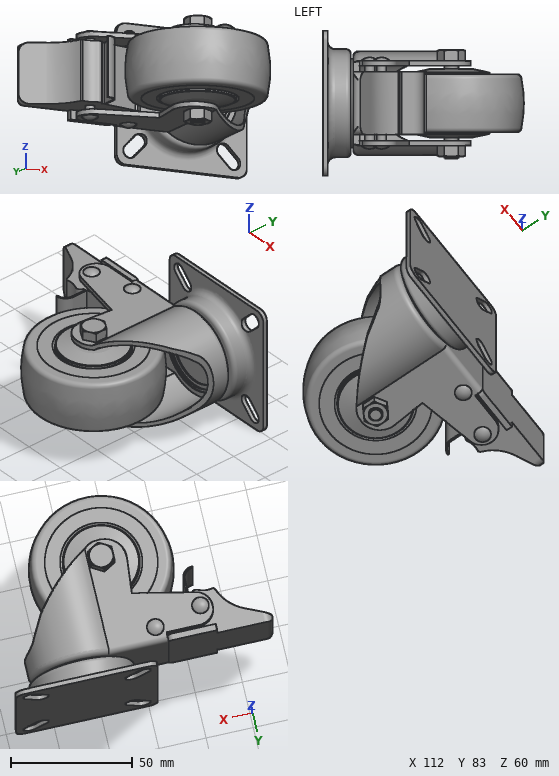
import cadquery as cq
import math


SWIVEL_X = 18.2
PLATE_SIZE = 60.0
PLATE_TOP = 53.0
PLATE_THICKNESS = 2.0
PLATE_CORNER = 4.0
SLOT_WIDTH = 6.0
SLOT_INNER = 19.2
SLOT_OUTER = 24.0
HOUSING_RADIUS = 22.4
HOUSING_FLARE = 2.95
HOUSING_EDGE = 2.0
HOUSING_BOTTOM = 41.5

SHEET = 2.1
FORK_RADIUS = 21.5
FORK_HALF = 17.5
FORK_TOP = 40.6
FORK_BEND = 2.4
WEB_START_X = -19.2
NECK_RADIUS = 18.4
RECESS_DIAMETERS = [34.0, 31.72, 28.0]
RECESS_STEP = 0.5
ARM_RADIUS = 7.1
ARM_X = -33.25
ARM_Y = 29.75
ARM_SLOPE = math.radians(12)
LEG_CORNER_X = -9.0
LEG_LEFT = (-10.4, 2.6)
LEG_LEFT_BULGE = (-7.9, -5.2)
LEG_RADIUS = 8.0
LEG_SLOPE = math.radians(40.5)
SKIRT_START = (9.1, -2.9)
SKIRT_BULGE = (20.0, 6.77)
SKIRT_END = (29.6, 17.5)
HEEL_START = (34.5, 25.9)
HEEL_BULGE = (36.5, 29.0)
HEEL_Y = 31.3

WHEEL_RADIUS = 30.0
TREAD_EDGE_RADIUS = 29.0
TREAD_EDGE_Z = 10.0
WHEEL_HALF = 12.05
TYRE_SIDE_RADIUS = 26.7
TYRE_SHOULDER = 2.2
CORE_RADIUS = 46.7 / 2
RIM_BEVEL_RADIUS = 17.0
RIM_HOLE_RADIUS = 16.0
RIM_BEVEL_DEPTH = 0.5
CAP_RADIUS = 31.72 / 2
CAP_EDGE_RADIUS = 31.0 / 2
CAP_EDGE_Z = 12.74
CAP_BEVEL = 0.25
CAP_TOP_RADIUS = 8.75
CAP_TOP_Z = 14.2
GROOVE_DEPTH = 1.0

AXLE_DIAMETER = 5.9
AXLE_TIP_DIAMETER = 4.92
AXLE_TIP = 0.9
HEX_FLATS = 10.0
HEX_HEIGHT = 4.5
HEX_BEVEL_HEIGHT = 0.35

RIVET_POINTS = [(-35.35, 28.8), (-15.15, 33.7)]
RIVET_DIAMETER = 4.0
RIVET_HEAD_RADIUS = 3.5
RIVET_DOME_RADIUS = 10.02 / 2

PEDAL_HALF = 13.0
PEDAL_TIP_X = -63.8
PEDAL_TIP_ROUND = 2.5
PEDAL_CORNER = 3.9
PEDAL_TIP_BOTTOM = 37.6
TOE_START = (-53.3, 32.9)
TOE_HOLLOW = (-45.9, 27.1)
TOE_END = (-43.1, 22.0)
HOOK_START = (-42.4, 21.4)
HOOK_MIDDLE = (-38.9, 21.6)
HOOK_END = (-36.0, 20.7)
LIP_BULGE = (-34.1, 20.8)
LIP_END = (-33.1, 22.3)
SHOE_START_Y = 22.7
SHOE_END = (-15.2, 27.1)
NOSE_START = (-14.3, 26.9)
NOSE_BULGE = (-11.2, 30.5)
NOSE_END_X = -12.0
EAR_START_X = -39.8
EAR_HALF = 17.1
EAR_BOTTOM = 37.85
EAR_CORNER = 2.0
TAIL_X = -31.6
TAIL_THICKNESS = 0.7
TAIL_BEND_Y = 15.4
TAIL_BEND_RADIUS = 4.6
TAIL_ROOT_Y = 24.0


def slab(sketch, half_width):
    """Extrude an XY outline symmetrically to z = +/- half_width."""
    return sketch.extrude(half_width, both=True)


def disc(radius, y_low, y_high):
    """A cylinder about the swivel axis."""
    ring = cq.Workplane("XZ", origin=(SWIVEL_X, y_low, 0)).circle(radius)
    return ring.extrude(y_low - y_high)


def rivet_holes():
    """Cutters for both rivets, as wide as the whole fork."""
    return slab(cq.Workplane("XY").pushPoints(RIVET_POINTS).circle(RIVET_DIAMETER / 2), FORK_RADIUS)


def make_plate():
    """The slotted plate with the round bearing housing below it."""
    underside = PLATE_TOP - PLATE_THICKNESS
    face = cq.Workplane("XZ", origin=(SWIVEL_X, PLATE_TOP, 0))
    plate = face.rect(PLATE_SIZE, PLATE_SIZE).extrude(PLATE_THICKNESS).edges("|Y").fillet(PLATE_CORNER)
    housing = (
        cq.Workplane("XY")
        .moveTo(0, underside)
        .lineTo(HOUSING_RADIUS + HOUSING_FLARE, underside)
        .radiusArc((HOUSING_RADIUS, underside - HOUSING_FLARE), -HOUSING_FLARE)
        .lineTo(HOUSING_RADIUS, HOUSING_BOTTOM + HOUSING_EDGE)
        .radiusArc((HOUSING_RADIUS - HOUSING_EDGE, HOUSING_BOTTOM), HOUSING_EDGE)
        .lineTo(0, HOUSING_BOTTOM)
        .close()
        .revolve(360, (0, 0, 0), (0, 1, 0))
        .translate((SWIVEL_X, 0, 0))
    )
    plate = plate.union(housing)
    slot_middle = (SLOT_INNER + SLOT_OUTER) / math.sqrt(2)
    slot_length = (SLOT_OUTER - SLOT_INNER) * math.sqrt(2) + SLOT_WIDTH
    slots = face.polarArray(slot_middle, 45, 360, 4).slot2D(slot_length, SLOT_WIDTH)
    return plate.cut(slots.extrude(PLATE_THICKNESS + HOUSING_FLARE))


def channel(half_width, radius, top):
    """A straight channel ending in a half round about the swivel axis."""
    bottom = -LEG_RADIUS - 1
    left = ARM_X - ARM_RADIUS - 1
    front = SWIVEL_X - math.sqrt(radius**2 - half_width**2)
    plan = (
        cq.Workplane("XZ", origin=(0, top, 0))
        .moveTo(left, -half_width)
        .lineTo(front, -half_width)
        .threePointArc((SWIVEL_X + radius, 0), (front, half_width))
        .lineTo(left, half_width)
        .close()
    )
    return plan.extrude(top - bottom)


def fork_outline():
    """The side outline of the fork, running from the web round the arm, leg, skirt and heel."""
    arm_top = ARM_Y + ARM_RADIUS
    arm_low = (ARM_X - ARM_RADIUS * math.sin(ARM_SLOPE), ARM_Y - ARM_RADIUS * math.cos(ARM_SLOPE))
    leg_low = (LEG_RADIUS * math.sin(LEG_SLOPE), -LEG_RADIUS * math.cos(LEG_SLOPE))
    right = SWIVEL_X + FORK_RADIUS
    crotch_y = arm_low[1] - (LEG_CORNER_X - arm_low[0]) * math.tan(ARM_SLOPE)
    return (
        cq.Workplane("XY")
        .moveTo(WEB_START_X, FORK_TOP)
        .lineTo(WEB_START_X, arm_top)
        .lineTo(ARM_X, arm_top)
        .threePointArc((ARM_X - ARM_RADIUS, ARM_Y), arm_low)
        .lineTo(LEG_CORNER_X, crotch_y)
        .lineTo(*LEG_LEFT)
        .threePointArc(LEG_LEFT_BULGE, (0, -LEG_RADIUS))
        .radiusArc(leg_low, -LEG_RADIUS)
        .lineTo(*SKIRT_START)
        .threePointArc(SKIRT_BULGE, SKIRT_END)
        .lineTo(*HEEL_START)
        .threePointArc(HEEL_BULGE, (right, HEEL_Y))
        .lineTo(right, FORK_TOP)
        .close()
    )


def make_fork():
    """The sheet fork: a bent channel trimmed to its side outline, with a neck and a stepped recess."""
    inner_top = FORK_TOP - SHEET
    fork = channel(FORK_HALF, FORK_RADIUS, FORK_TOP)
    fork = fork.faces(">Y").edges("not <X").fillet(FORK_BEND)
    fork = fork.cut(channel(FORK_HALF - SHEET, FORK_RADIUS - SHEET, inner_top))
    fork = fork.intersect(slab(fork_outline(), FORK_RADIUS))
    fork = fork.union(disc(NECK_RADIUS, inner_top, HOUSING_BOTTOM))
    for step, diameter in enumerate(RECESS_DIAMETERS, start=1):
        fork = fork.cut(disc(diameter / 2, inner_top, inner_top + step * RECESS_STEP))
    fork = fork.cut(slab(cq.Workplane("XY").circle(AXLE_DIAMETER / 2), FORK_RADIUS))
    return fork.cut(rivet_holes())


def make_tyre():
    """The crowned tyre around the wheel core."""
    return (
        cq.Workplane("XZ")
        .moveTo(CORE_RADIUS, -WHEEL_HALF)
        .lineTo(TYRE_SIDE_RADIUS, -WHEEL_HALF)
        .radiusArc((TREAD_EDGE_RADIUS, -TREAD_EDGE_Z), -TYRE_SHOULDER)
        .threePointArc((WHEEL_RADIUS, 0), (TREAD_EDGE_RADIUS, TREAD_EDGE_Z))
        .radiusArc((TYRE_SIDE_RADIUS, WHEEL_HALF), -TYRE_SHOULDER)
        .lineTo(CORE_RADIUS, WHEEL_HALF)
        .close()
        .revolve(360, (0, 0, 0), (0, 1, 0))
    )


def make_core():
    """The wheel core with a coned cap and a groove round it on each side."""
    bore = AXLE_DIAMETER / 2
    groove_z = WHEEL_HALF - GROOVE_DEPTH
    half = (
        cq.Workplane("XZ")
        .moveTo(bore, 0)
        .lineTo(CORE_RADIUS, 0)
        .lineTo(CORE_RADIUS, WHEEL_HALF)
        .lineTo(RIM_BEVEL_RADIUS, WHEEL_HALF)
        .lineTo(RIM_HOLE_RADIUS, WHEEL_HALF - RIM_BEVEL_DEPTH)
        .lineTo(RIM_HOLE_RADIUS, groove_z)
        .lineTo(CAP_RADIUS, groove_z)
        .lineTo(CAP_RADIUS, CAP_EDGE_Z - CAP_BEVEL)
        .lineTo(CAP_EDGE_RADIUS, CAP_EDGE_Z)
        .lineTo(CAP_TOP_RADIUS, CAP_TOP_Z)
        .lineTo(bore, CAP_TOP_Z)
        .close()
        .revolve(360, (0, 0, 0), (0, 1, 0))
    )
    return half.union(half.mirror("XY"))


def hex_end():
    """A hexagon standing on the +Z side of the fork, its outer corners bevelled."""
    corner_radius = HEX_FLATS / math.sqrt(3)
    block = (
        cq.Workplane("XY", origin=(0, 0, FORK_HALF))
        .polygon(6, 2 * corner_radius)
        .extrude(HEX_HEIGHT)
        .rotate((0, 0, 0), (0, 0, 1), 30)
    )
    envelope = (
        cq.Workplane("XY", origin=(0, 0, FORK_HALF))
        .circle(corner_radius)
        .extrude(HEX_HEIGHT)
        .faces(">Z")
        .chamfer(HEX_BEVEL_HEIGHT, corner_radius - HEX_FLATS / 2)
    )
    return block.intersect(envelope)


def make_axle():
    """The axle with a hexagon outside each fork leg and a bevelled tip on the -Z side."""
    end = hex_end()
    length = 2 * (FORK_HALF + HEX_HEIGHT) + AXLE_TIP
    shank = (
        cq.Workplane("XY", origin=(0, 0, FORK_HALF + HEX_HEIGHT))
        .circle(AXLE_DIAMETER / 2)
        .extrude(-length)
        .faces("<Z")
        .chamfer((AXLE_DIAMETER - AXLE_TIP_DIAMETER) / 2)
    )
    return shank.union(end).union(end.mirror("XY"))


def make_rivet(point):
    """A rivet across the fork with a domed head on each side."""
    dome_drop = math.sqrt(RIVET_DOME_RADIUS**2 - RIVET_HEAD_RADIUS**2)
    dome_top = FORK_HALF + RIVET_DOME_RADIUS - dome_drop
    half = (
        cq.Workplane("XZ")
        .lineTo(RIVET_DIAMETER / 2, 0)
        .lineTo(RIVET_DIAMETER / 2, FORK_HALF)
        .lineTo(RIVET_HEAD_RADIUS, FORK_HALF)
        .radiusArc((0, dome_top), -RIVET_DOME_RADIUS)
        .close()
        .revolve(360, (0, 0, 0), (0, 1, 0))
    )
    return half.union(half.mirror("XY")).translate((*point, 0))


def pedal_lever():
    """The pressed lever: a toe on the left, a brake shoe above the wheel on the right."""
    lever = (
        cq.Workplane("XY")
        .moveTo(PEDAL_TIP_X + PEDAL_TIP_ROUND, FORK_TOP)
        .radiusArc((PEDAL_TIP_X, FORK_TOP - PEDAL_TIP_ROUND), -PEDAL_TIP_ROUND)
        .lineTo(PEDAL_TIP_X, PEDAL_TIP_BOTTOM)
        .lineTo(*TOE_START)
        .threePointArc(TOE_HOLLOW, TOE_END)
        .lineTo(*HOOK_START)
        .threePointArc(HOOK_MIDDLE, HOOK_END)
        .threePointArc(LIP_BULGE, LIP_END)
        .lineTo(TAIL_X, SHOE_START_Y)
        .lineTo(*SHOE_END)
        .lineTo(*NOSE_START)
        .threePointArc(NOSE_BULGE, (NOSE_END_X, EAR_BOTTOM))
        .lineTo(WEB_START_X, EAR_BOTTOM)
        .lineTo(WEB_START_X, FORK_TOP)
        .close()
    )
    pedal = slab(lever, PEDAL_HALF)
    tip_corners = (
        cq.Workplane("XZ", origin=(0, FORK_TOP, 0))
        .rect(2 * abs(PEDAL_TIP_X), 2 * PEDAL_HALF)
        .extrude(FORK_TOP)
        .edges("|Y")
        .fillet(PEDAL_CORNER)
    )
    return pedal.intersect(tip_corners)


def pedal_ears():
    """The flat plate that reaches over both arms of the fork."""
    ear_length = WEB_START_X - EAR_START_X
    return (
        cq.Workplane("XZ", origin=(EAR_START_X + ear_length / 2, FORK_TOP, 0))
        .rect(ear_length, 2 * EAR_HALF)
        .extrude(FORK_TOP - EAR_BOTTOM)
        .edges("|Y and >X")
        .fillet(EAR_CORNER)
    )


def pedal_tail():
    """The thin tongue that hangs below the lever and curls towards the toe."""
    half = TAIL_THICKNESS / 2
    outer = TAIL_BEND_RADIUS + half
    inner = TAIL_BEND_RADIUS - half
    bend_x = TAIL_X - TAIL_BEND_RADIUS
    tail = (
        cq.Workplane("XY")
        .moveTo(TAIL_X + half, TAIL_ROOT_Y)
        .lineTo(TAIL_X + half, TAIL_BEND_Y)
        .radiusArc((bend_x, TAIL_BEND_Y - outer), outer)
        .lineTo(bend_x, TAIL_BEND_Y - inner)
        .radiusArc((TAIL_X - half, TAIL_BEND_Y), -inner)
        .lineTo(TAIL_X - half, TAIL_ROOT_Y)
        .close()
    )
    return slab(tail, PEDAL_HALF)


def make_pedal():
    """The brake pedal, bored for both rivets."""
    pedal = pedal_lever().union(pedal_ears()).union(pedal_tail())
    return pedal.cut(rivet_holes())


plate = make_plate()
fork = make_fork()
tyre = make_tyre()
core = make_core()
axle = make_axle()
pedal = make_pedal()
rivets = [make_rivet(point) for point in RIVET_POINTS]

result = cq.Compound.makeCompound(
    [body.val() for body in (plate, fork, tyre, core, axle, pedal)] + [rivet.val() for rivet in rivets]
)